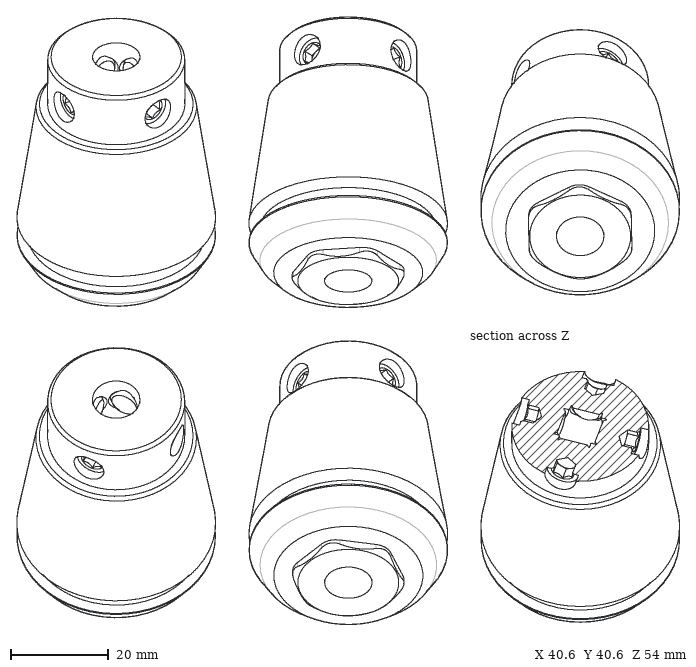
import cadquery as cq
import math

total_height = 54.0
collar_base_z = 42.0
body_rim_z = 13.3
groove_top_z = 12.0
groove_bottom_z = 9.0
flange_land_z = 8.7
flange_break_z = 4.75
nut_top_z = 1.95

bore_radius = 9.65 / 2
collar_radius = 28.0 / 2
body_rim_radius = 40.65 / 2
body_taper_angle = 8.0
groove_radius = 36.2 / 2
flange_radius = 40.55 / 2
flange_break_radius = 18.05
flange_bottom_radius = flange_break_radius - (flange_break_z - nut_top_z)

edge_chamfer = 0.7
shoulder_z = collar_base_z - edge_chamfer
body_taper = (shoulder_z - body_rim_z) * math.tan(math.radians(body_taper_angle))
body_top_radius = body_rim_radius - body_taper

nut_across_flats = 21.0
nut_corner_radius = 4.0
nut_face_radius = 10.3

screw_count = 4
screw_axis_z = 47.65
screw_hole_radius = 6.65 / 2
screw_radius = 4.0
screw_head_distance = 12.0
screw_tip_distance = 4.0
screw_tip_radius = 2.75
socket_across_flats = 4.0
socket_mouth_radius = 4.8 / 2
socket_depth = 2.5
socket_cone_angle = 120.0


def hexagon_corner_diameter(across_flats):
    return across_flats / math.cos(math.pi / 6)


def turned_body():
    """Collar, tapered body, groove and flange, revolved about Z."""
    profile = (
        cq.Workplane("XZ")
        .moveTo(0, nut_top_z)
        .lineTo(flange_bottom_radius, nut_top_z)
        .lineTo(flange_break_radius, flange_break_z)
        .lineTo(flange_radius, flange_land_z)
        .lineTo(flange_radius, groove_bottom_z)
        .lineTo(groove_radius, groove_bottom_z)
        .lineTo(groove_radius, groove_top_z)
        .lineTo(body_rim_radius, body_rim_z)
        .lineTo(body_top_radius, shoulder_z)
        .lineTo(body_top_radius - edge_chamfer, collar_base_z)
        .lineTo(collar_radius, collar_base_z)
        .lineTo(collar_radius, total_height - edge_chamfer)
        .lineTo(collar_radius - edge_chamfer, total_height)
        .lineTo(0, total_height)
        .close()
    )
    return profile.revolve(360, (0, 0, 0), (0, 1, 0))


def hex_nut():
    """Hexagon with rounded corners, its lower face turned to a 45 degree cone."""
    hexagon = (
        cq.Workplane("XY")
        .polygon(6, hexagon_corner_diameter(nut_across_flats))
        .extrude(nut_top_z)
        .edges("|Z")
        .fillet(nut_corner_radius)
    )
    cone = cq.Solid.makeCone(nut_face_radius, nut_face_radius + nut_top_z, nut_top_z)
    return hexagon.intersect(cq.Workplane(cone))


def set_screw():
    """Screw along +X, merged with the wall: chamfered tip in the bore, hexagon socket outside."""
    screw = (
        cq.Workplane("YZ", origin=(screw_tip_distance, 0, screw_axis_z))
        .circle(screw_radius)
        .extrude(screw_head_distance - screw_tip_distance)
        .faces("<X")
        .chamfer(screw_radius - screw_tip_radius)
    )
    socket = (
        cq.Workplane("YZ", origin=(screw_head_distance, 0, screw_axis_z))
        .transformed(rotate=(0, 0, 90))
        .polygon(6, hexagon_corner_diameter(socket_across_flats))
        .extrude(-socket_depth)
    )
    inward = cq.Vector(-1, 0, 0)
    mouth_point = cq.Vector(screw_head_distance, 0, screw_axis_z)
    mouth = cq.Solid.makeCone(socket_mouth_radius, 0, socket_mouth_radius, mouth_point, inward)
    cone_radius = socket_across_flats / 2
    cone_depth = cone_radius / math.tan(math.radians(socket_cone_angle / 2))
    cone_point = mouth_point + inward * socket_depth
    bottom_cone = cq.Solid.makeCone(cone_radius, 0, cone_depth, cone_point, inward)
    return screw.cut(socket).cut(cq.Workplane(mouth)).cut(cq.Workplane(bottom_cone))


def screw_hole():
    """Radial hole along +X from the bore out through the collar wall."""
    return (
        cq.Workplane("YZ", origin=(0, 0, screw_axis_z))
        .circle(screw_hole_radius)
        .extrude(collar_radius)
    )


bore = cq.Workplane("XY").circle(bore_radius).extrude(total_height)
result = turned_body().union(hex_nut()).cut(bore)

for index in range(screw_count):
    angle = index * 360 / screw_count
    result = result.cut(screw_hole().rotate((0, 0, 0), (0, 0, 1), angle))
    result = result.union(set_screw().rotate((0, 0, 0), (0, 0, 1), angle))